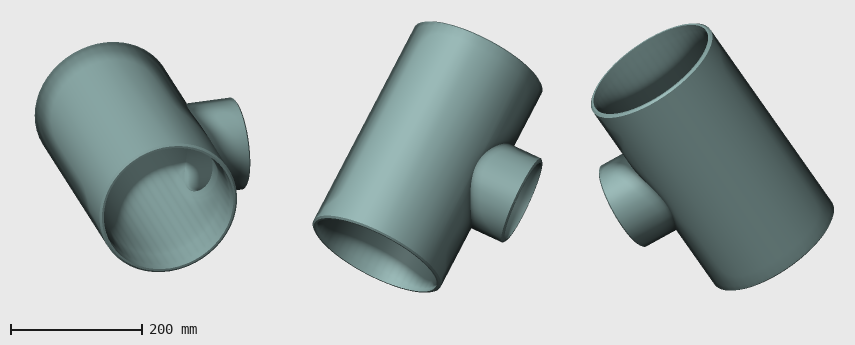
import cadquery as cq

run_length = 355.5
run_diameter = 219.0
run_wall = 6.5
branch_diameter = 141.5
branch_wall = 6.8
overall_depth = 271.7
branch_reach = overall_depth - run_diameter / 2
bevel_length = 2.5
bevel_depth = 3.2


def beveled_bar(diameter, start, end, bevel_start):
    """Solid bar along Y with a conical weld bevel at its end, and optionally at its start."""
    radius = diameter / 2
    tip_radius = radius - bevel_depth
    outline = cq.Workplane("XY").moveTo(0, start)
    if bevel_start:
        outline = outline.lineTo(tip_radius, start).lineTo(radius, start + bevel_length)
    else:
        outline = outline.lineTo(radius, start)
    outline = outline.lineTo(radius, end - bevel_length).lineTo(tip_radius, end).lineTo(0, end)
    return outline.close().revolve(360, (0, 0, 0), (0, 1, 0))


def bore(diameter, start, end):
    """Cylinder along Y used to hollow out a pipe."""
    return cq.Workplane("XZ", origin=(0, start, 0)).circle(diameter / 2).extrude(start - end)


def along_x(body):
    """Turn a body from the Y axis onto the X axis."""
    return body.rotate((0, 0, 0), (0, 0, 1), -90)


half_length = run_length / 2
run_body = along_x(beveled_bar(run_diameter, -half_length, half_length, True))
branch_body = beveled_bar(branch_diameter, 0, branch_reach, False)

run_bore = along_x(bore(run_diameter - 2 * run_wall, -half_length, half_length))
branch_bore = bore(branch_diameter - 2 * branch_wall, 0, branch_reach)

result = run_body.union(branch_body).cut(run_bore).cut(branch_bore)